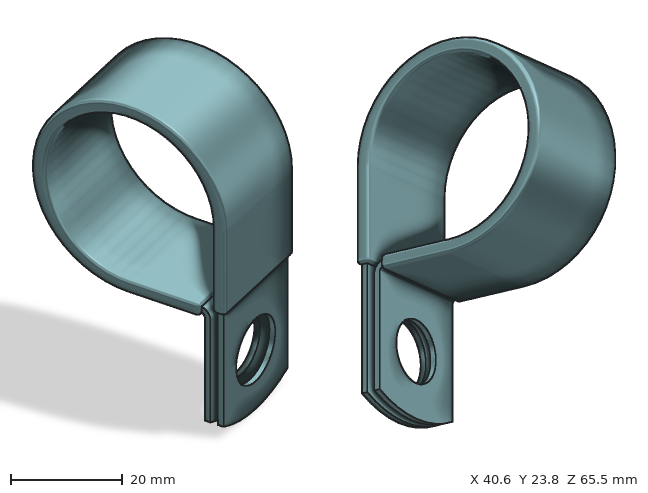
import cadquery as cq
import math

outer_diameter = 40.55
cushion_width = 23.8
overall_height = 65.5
strap_thickness = 1.2
cushion_cover = 0.8
tab_gap = 1.6
bend_inner_radius = 1.2
cushion_drop = 18.35
cushion_reach = 14.9
near_hole_diameter = 12.0
far_hole_diameter = 13.5
hole_to_tip = 12.7
tip_rise = 2.5

outer_radius = outer_diameter / 2
cushion_thickness = strap_thickness + 2 * cushion_cover
strap_width = cushion_width - 2 * cushion_cover
strap_outer = outer_radius - cushion_cover
strap_inner = strap_outer - strap_thickness
near_tab_outer = strap_inner - tab_gap
near_tab_inner = near_tab_outer - strap_thickness
bend_outer_radius = bend_inner_radius + strap_thickness
bend_x = near_tab_outer - bend_outer_radius
bend_z = -strap_inner - bend_outer_radius
tip_z = outer_radius - overall_height
hole_z = tip_z + hole_to_tip


def extrude_centered(profile, width):
    """Extrude an XZ profile symmetrically along Y."""
    return profile.extrude(width / 2, both=True)


def make_cushion():
    """Three-quarter loop with two tangent legs and all edges rounded."""
    inner_radius = outer_radius - cushion_thickness
    diagonal = math.sqrt(0.5)
    profile = (
        cq.Workplane("XZ")
        .moveTo(outer_radius, -cushion_drop)
        .lineTo(outer_radius, 0)
        .threePointArc((-outer_radius * diagonal, outer_radius * diagonal), (0, -outer_radius))
        .lineTo(cushion_reach, -outer_radius)
        .lineTo(cushion_reach, -inner_radius)
        .lineTo(0, -inner_radius)
        .threePointArc((-inner_radius * diagonal, inner_radius * diagonal), (inner_radius, 0))
        .lineTo(inner_radius, -cushion_drop)
        .close()
    )
    body = extrude_centered(profile, cushion_width)
    end_edges = cq.selectors.BoxSelector(
        (cushion_reach - cushion_cover, -cushion_width, -outer_radius - cushion_cover),
        (outer_radius + cushion_cover, cushion_width, -inner_radius + cushion_cover),
    )
    rounded_ends = body.edges("|Y").edges(end_edges).fillet(cushion_cover)
    return rounded_ends.faces("|Y").edges().fillet(cushion_cover)


def make_far_tab():
    """Straight strap end, starting inside the vertical cushion leg."""
    profile = (
        cq.Workplane("XZ")
        .moveTo(strap_inner, tip_z)
        .lineTo(strap_outer, tip_z)
        .lineTo(strap_outer, -cushion_drop + cushion_cover)
        .lineTo(strap_inner, -cushion_drop + cushion_cover)
        .close()
    )
    return extrude_centered(profile, strap_width)


def make_near_tab():
    """Strap end leaving the horizontal cushion leg and bending downward."""
    start_x = cushion_reach - cushion_cover
    diagonal = math.sqrt(0.5)
    outer_mid = (bend_x + bend_outer_radius * diagonal, bend_z + bend_outer_radius * diagonal)
    inner_mid = (bend_x + bend_inner_radius * diagonal, bend_z + bend_inner_radius * diagonal)
    profile = (
        cq.Workplane("XZ")
        .moveTo(start_x, -strap_inner)
        .lineTo(bend_x, -strap_inner)
        .threePointArc(outer_mid, (near_tab_outer, bend_z))
        .lineTo(near_tab_outer, tip_z)
        .lineTo(near_tab_inner, tip_z)
        .lineTo(near_tab_inner, bend_z)
        .threePointArc(inner_mid, (bend_x, -strap_outer))
        .lineTo(start_x, -strap_outer)
        .close()
    )
    return extrude_centered(profile, strap_width)


def make_tab_outline(hole_diameter):
    """Block with the arced tip and bolt hole, used to trim a tab."""
    half_width = strap_width / 2
    outline = (
        cq.Workplane("YZ")
        .moveTo(-half_width, 0)
        .lineTo(-half_width, tip_z + tip_rise)
        .threePointArc((0, tip_z), (half_width, tip_z + tip_rise))
        .lineTo(half_width, 0)
        .close()
        .extrude(outer_radius)
    )
    hole = cq.Workplane("YZ").center(0, hole_z).circle(hole_diameter / 2).extrude(outer_radius)
    return outline.cut(hole)


far_tab = make_far_tab().intersect(make_tab_outline(far_hole_diameter))
near_tab = make_near_tab().intersect(make_tab_outline(near_hole_diameter))
result = make_cushion().union(far_tab).union(near_tab)